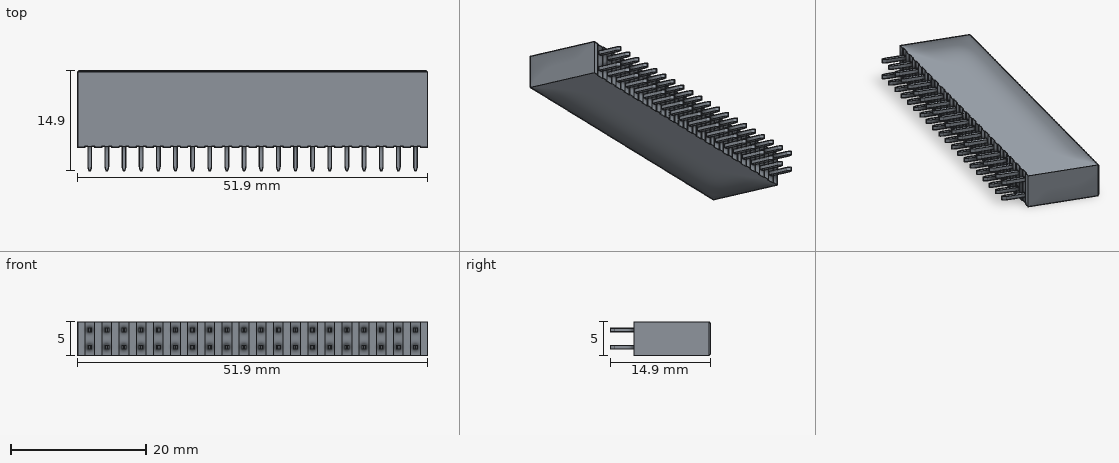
import cadquery as cq

PITCH = 2.54
COLUMNS = 20
ROWS = 2

END_MARGIN = 1.8
HOUSING_LENGTH = (COLUMNS - 1) * PITCH + 2 * END_MARGIN
HOUSING_HEIGHT = 5.0
HOUSING_DEPTH = 11.37
MATING_CHAMFER = 0.25

GROOVE_WIDTH = 1.44
GROOVE_DEPTH = 0.15

PIN_PROJECTION = 3.48
PIN_WIDTH = 0.58
PIN_THICKNESS = 0.55
TIP_LENGTH = 0.6
TIP_WIDTH = 0.2
TIP_BULGE = 0.02

column_positions = [(i - (COLUMNS - 1) / 2) * PITCH for i in range(COLUMNS)]
row_positions = [(i - (ROWS - 1) / 2) * PITCH for i in range(ROWS)]


def make_housing():
    """Block with its pin face on Y = 0 and chamfered edges around the mating face."""
    block = cq.Workplane("XY").box(
        HOUSING_LENGTH, HOUSING_DEPTH, HOUSING_HEIGHT, centered=(True, False, True)
    )
    return block.faces(">Y").edges().chamfer(MATING_CHAMFER)


def make_groove(x):
    """Cutter for the groove around the pin column at x."""
    groove = cq.Workplane("XY").box(
        GROOVE_WIDTH, GROOVE_DEPTH, HOUSING_HEIGHT, centered=(True, False, True)
    )
    return groove.translate((x, 0, 0))


def make_pin(x, z):
    """Pin standing on the groove floor, centred on (x, z)."""
    half_width = PIN_WIDTH / 2
    half_tip = TIP_WIDTH / 2
    shoulder_y = TIP_LENGTH - PIN_PROJECTION
    pin = (
        cq.Workplane("XY")
        .moveTo(-half_width, GROOVE_DEPTH)
        .lineTo(-half_width, shoulder_y)
        .sagittaArc((-half_tip, -PIN_PROJECTION), -TIP_BULGE)
        .lineTo(half_tip, -PIN_PROJECTION)
        .sagittaArc((half_width, shoulder_y), -TIP_BULGE)
        .lineTo(half_width, GROOVE_DEPTH)
        .close()
        .extrude(PIN_THICKNESS / 2, both=True)
    )
    return pin.translate((x, 0, z))


result = make_housing()
for column_x in column_positions:
    result = result.cut(make_groove(column_x))
    for row_z in row_positions:
        result = result.union(make_pin(column_x, row_z))